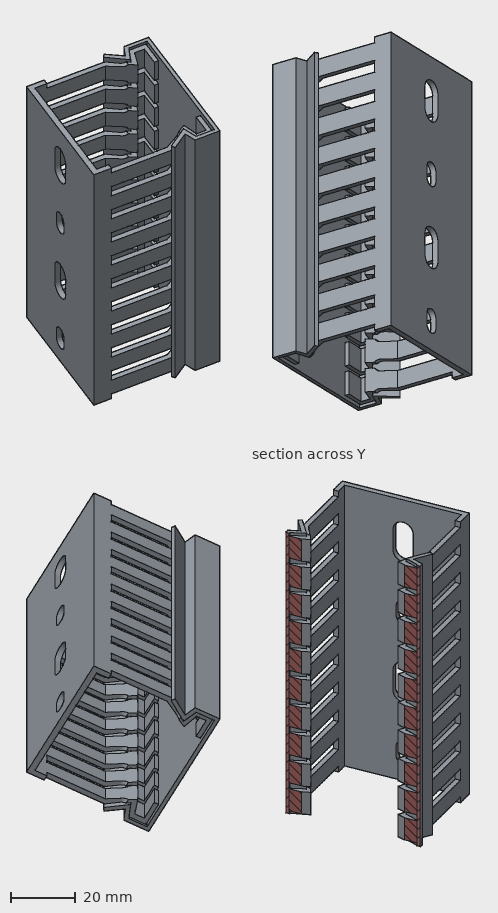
import cadquery as cq


length = 100.0
cover_width = 46.6
height = 43.5

cover_wall = 1.3
duct_wall = 1.8
base_wall = 2.0

skirt_depth = 8.7
neck_depth = 10.2
neck_inset = 3.8
lip_depth = 15.7
lip_end_depth = 16.45
lip_end_inset = 1.15
inner_skirt_depth = 7.65
inner_neck_depth = 9.55
inner_neck_inset = 6.1

flange_gap = 0.4
flange_inset = 9.6
flange_thickness = 1.5
shoulder_depth = 6.55
crest_depth = 8.2
crest_inset = 8.25
knee_depth = 16.85

tooth_pitch = 10.0
slot_width = 4.0
slot_mouth_width = 2.0
slot_floor_height = 6.2
slot_round_depth = 12.45

mount_pitch = 25.0
first_small_mount_z = 10.0
large_mount_width = 7.0
large_mount_length = 14.0
small_mount_width = 4.8
small_mount_length = 8.2

half_width = cover_width / 2
tooth_count = round(length / tooth_pitch)
duct_half_width = half_width - cover_wall
lip_contact_depth = lip_end_depth - (cover_wall - lip_end_inset) * (
    (lip_end_depth - inner_neck_depth) / (inner_neck_inset - lip_end_inset)
)


def section_point(inset, depth):
    """Place a point of the +X half profile from the outer top corner of the cover."""
    return (half_width - inset, height - depth)


def symmetric_prism(half_profile):
    """Extrude a profile along Z after mirroring its +X half, listed end to end, about X = 0."""
    mirrored_half = [(-x, y) for x, y in reversed(half_profile)]
    return cq.Workplane("XY").polyline(half_profile + mirrored_half).close().extrude(length)


def make_cover():
    return symmetric_prism(
        [
            section_point(0, 0),
            section_point(0, skirt_depth),
            section_point(neck_inset, neck_depth),
            section_point(0, lip_depth),
            section_point(lip_end_inset, lip_end_depth),
            section_point(inner_neck_inset, inner_neck_depth),
            section_point(cover_wall, inner_skirt_depth),
            section_point(cover_wall, cover_wall),
        ]
    )


def make_duct_blank():
    """Duct with unbroken side walls: the outer face follows the inside of the cover."""
    flange_depth = cover_wall + flange_gap
    wall_inset = cover_wall + duct_wall
    return symmetric_prism(
        [
            (duct_half_width, 0),
            section_point(cover_wall, lip_contact_depth),
            section_point(inner_neck_inset, inner_neck_depth),
            section_point(cover_wall, inner_skirt_depth),
            section_point(cover_wall, flange_depth),
            section_point(flange_inset, flange_depth),
            section_point(flange_inset, flange_depth + flange_thickness),
            section_point(wall_inset, flange_depth + flange_thickness),
            section_point(wall_inset, shoulder_depth),
            section_point(crest_inset, crest_depth),
            section_point(wall_inset, knee_depth),
            (duct_half_width - duct_wall, base_wall),
        ]
    )


def make_comb_slot(center_z):
    """Round-ended slot through both side walls, with a narrow mouth between the tooth heads."""
    round_y = height - slot_round_depth
    wide_part = (
        cq.Workplane("YZ", origin=(-half_width, 0, center_z))
        .moveTo(slot_floor_height, -slot_width / 2)
        .lineTo(round_y, -slot_width / 2)
        .threePointArc((round_y + slot_width / 2, 0), (round_y, slot_width / 2))
        .lineTo(slot_floor_height, slot_width / 2)
        .close()
        .extrude(cover_width)
    )
    mouth = cq.Workplane("XY").box(
        cover_width, slot_round_depth, slot_mouth_width, centered=(True, False, True)
    )
    return wide_part.union(mouth.translate((0, round_y, center_z)))


def make_mount_slot(center_z, slot_length, width):
    """Round-ended slot through the base, long along Z."""
    return (
        cq.Workplane("XZ", origin=(0, base_wall, center_z))
        .slot2D(slot_length, width, angle=90)
        .extrude(base_wall)
    )


def make_duct():
    body = make_duct_blank()
    for index in range(tooth_count + 1):
        body = body.cut(make_comb_slot(index * tooth_pitch))
    for small_z in (first_small_mount_z, first_small_mount_z + 2 * mount_pitch):
        body = body.cut(make_mount_slot(small_z, small_mount_length, small_mount_width))
        body = body.cut(make_mount_slot(small_z + mount_pitch, large_mount_length, large_mount_width))
    return body


cover = make_cover()
duct = make_duct()

result = cq.Compound.makeCompound([cover.val(), duct.val()])